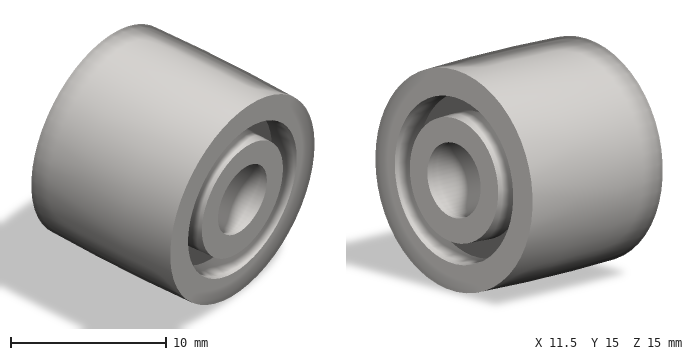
import cadquery as cq

width = 11.5
crown_diameter = 14.98
end_diameter = 14.77
bore_diameter = 5.0
hub_diameter = 8.3
recess_diameter = 11.12
recess_depth = 2.0
wall_flare = 0.07

half_width = width / 2
crown_radius = crown_diameter / 2
end_radius = end_diameter / 2
bore_radius = bore_diameter / 2
hub_radius = hub_diameter / 2
recess_radius = recess_diameter / 2


def revolve_about_x(profile):
    """Turn a closed (x, radius) profile into a solid of revolution."""
    return profile.close().revolve(360, (0, 0, 0), (1, 0, 0))


def crowned_body():
    """Bored roller whose rim bulges to its largest diameter at mid-width."""
    profile = (
        cq.Workplane("XY")
        .moveTo(-half_width, bore_radius)
        .lineTo(-half_width, end_radius)
        .threePointArc((0, crown_radius), (half_width, end_radius))
        .lineTo(half_width, bore_radius)
    )
    return revolve_about_x(profile)


def end_recess(side):
    """Tapered ring cut between hub and rim; side is -1 or +1 along X."""
    mouth_x = side * half_width
    floor_x = side * (half_width - recess_depth)
    profile = cq.Workplane("XY").polyline([
        (mouth_x, hub_radius),
        (mouth_x, recess_radius),
        (floor_x, recess_radius - wall_flare),
        (floor_x, hub_radius + wall_flare),
    ])
    return revolve_about_x(profile)


result = crowned_body()
for side in (-1, 1):
    result = result.cut(end_recess(side))